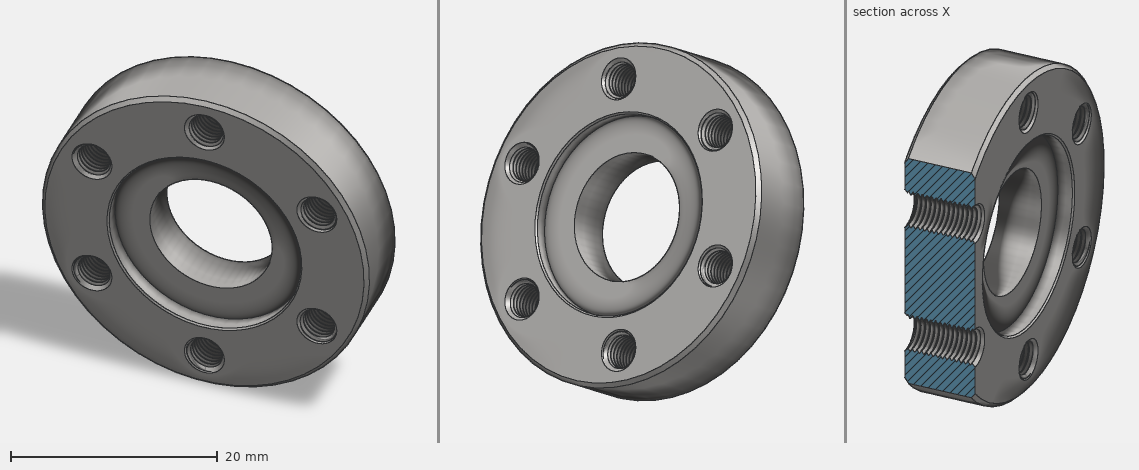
import cadquery as cq
import math

ring_radius = 17.0
ring_thickness = 7.6
rim_chamfer = 0.4

seat_radius = 9.95
seat_chamfer = 0.17
disc_bore_radius = 6.35
disc_front_depth = 1.75
disc_thickness = 4.55

hole_count = 6
hole_circle_radius = 13.5
thread_pitch = 0.5
thread_minor_radius = 1.615
thread_major_radius = 1.97
entry_radius = 2.07
thread_flank_angle = 30.0
root_flat = 0.007
cutter_overlap = 0.017
thread_runout = 1.5 * thread_pitch

front = -ring_thickness / 2
back = ring_thickness / 2


def front_plane(offset=0.0):
    """Plane square to the ring axis, with its normal along +Y and its local x along +Z."""
    return cq.Plane(origin=(0, front + offset, 0), xDir=(0, 0, 1), normal=(0, 1, 0))


def make_ring_blank():
    """Chamfered disc with a through bore whose edges are broken."""
    blank = cq.Workplane(front_plane()).circle(ring_radius).extrude(ring_thickness)
    blank = blank.faces("<Y or >Y").edges().chamfer(rim_chamfer)
    bore = cq.Workplane(front_plane()).circle(seat_radius).extrude(ring_thickness)
    blank = blank.cut(bore)
    return blank.edges(cq.selectors.RadiusNthSelector(0)).chamfer(seat_chamfer)


def make_pilot_cutter():
    """Through drill at the thread's minor diameter, on the top of the hole circle."""
    return (
        cq.Workplane(front_plane())
        .center(hole_circle_radius, 0)
        .circle(thread_minor_radius)
        .extrude(ring_thickness)
    )


def make_countersink_cutter(face, direction):
    """45 degree cone that opens a threaded hole where it meets one face of the ring."""
    cone = cq.Solid.makeCone(
        entry_radius,
        thread_minor_radius,
        entry_radius - thread_minor_radius,
        pnt=cq.Vector(0, face, hole_circle_radius),
        dir=cq.Vector(0, direction, 0),
    )
    return cq.Workplane(cone)


def make_thread_cutter():
    """Helical V groove with a narrow flat root, running past both faces of the ring."""
    inner_radius = thread_minor_radius - cutter_overlap
    depth = thread_major_radius - inner_radius
    half_root = root_flat / 2
    half_mouth = half_root + depth * math.tan(math.radians(thread_flank_angle))
    length = ring_thickness + 2 * thread_runout
    helix = cq.Wire.makeHelix(thread_pitch, length, inner_radius)
    groove = (
        cq.Workplane("XZ")
        .polyline(
            [
                (inner_radius, -half_mouth),
                (thread_major_radius, -half_root),
                (thread_major_radius, half_root),
                (inner_radius, half_mouth),
            ]
        )
        .close()
        .sweep(cq.Workplane(helix), isFrenet=True)
    )
    groove = groove.rotate((0, 0, 0), (1, 0, 0), -90)
    return groove.translate((0, front - thread_runout, hole_circle_radius))


def make_ring():
    """Ring blank with its circle of threaded holes; each groove is cut before its drill."""
    cutters = [
        make_countersink_cutter(front, 1),
        make_countersink_cutter(back, -1),
        make_thread_cutter(),
        make_pilot_cutter(),
    ]
    ring = make_ring_blank()
    for index in range(hole_count):
        angle = index * 360 / hole_count
        for cutter in cutters:
            ring = ring.cut(cutter.rotate((0, 0, 0), (0, 1, 0), angle))
    return ring


def make_disc():
    """Flat annular disc sitting inside the ring bore."""
    return (
        cq.Workplane(front_plane(disc_front_depth))
        .circle(seat_radius)
        .circle(disc_bore_radius)
        .extrude(disc_thickness)
    )


ring = make_ring()
disc = make_disc()
result = cq.Compound.makeCompound([*ring.vals(), disc.val()])